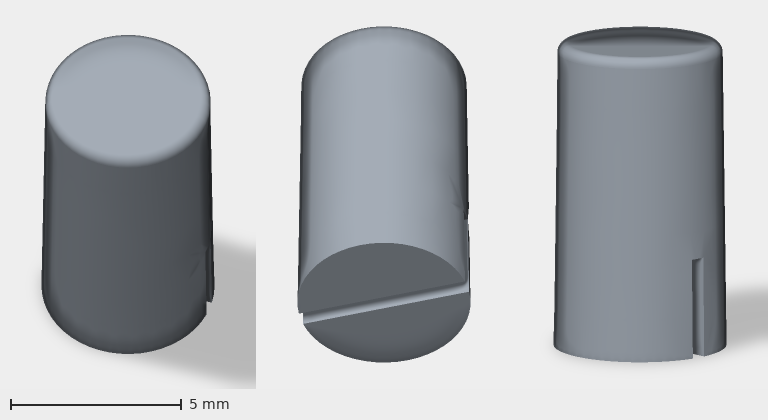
import cadquery as cq

height = 9.05
base_diameter = 5.07
shoulder_diameter = 4.84
edge_radius = 0.3

slot_width = 0.45
slot_height = 2.95

base_radius = base_diameter / 2
shoulder_radius = shoulder_diameter / 2
shoulder_height = height - edge_radius


def tapered_body():
    """Revolve the tapered side and rounded top edge about Z."""
    flat_radius = shoulder_radius - edge_radius
    edge_end = (flat_radius, height)
    return (
        cq.Workplane("XZ")
        .lineTo(base_radius, 0)
        .lineTo(shoulder_radius, shoulder_height)
        .tangentArcPoint(edge_end, relative=False)
        .lineTo(0, height)
        .close()
        .revolve(360, (0, 0, 0), (0, 1, 0))
    )


def slot():
    """Rectangular cutter open at the base and longer than the body is wide."""
    return cq.Workplane("XY").box(
        2 * base_diameter, slot_width, slot_height, centered=(True, True, False)
    )


result = tapered_body().cut(slot())